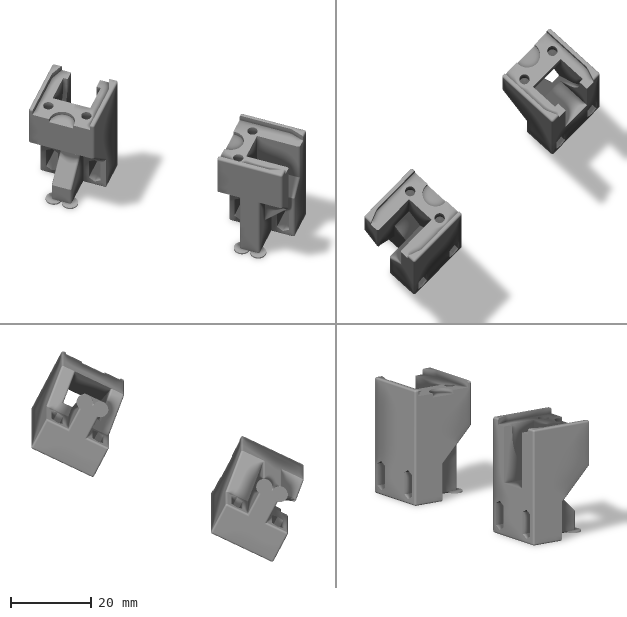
import cadquery as cq
import math

TOTAL_LENGTH = 67.35
SIDE = 17.4
HEIGHT = 29.7
HALF = SIDE / 2
BRACKET_X = TOTAL_LENGTH / 2 - HALF
EDGE_RADIUS = 0.5

LIP_Z = 18.25
WALL_TOP_Z = LIP_Z - HALF

DECK_Z = 28.15
DECK_HALF_WIDTH = 7.6
FLARE_LENGTH = 3.6
FLARE_WIDTH = 1.35
FLARE_RADIUS = 2.7
SCREW_RADIUS = 1.3
SCREW_SPACING = 10.1
SCREW_INSET = 4.4
SCREW_DEPTH = 3.0
MAGNET_RADIUS = 3.2
MAGNET_INSET = 0.55
MAGNET_DEPTH = 1.0

SLOT_HALF_WIDTH = 3.85
SLOT_FLOOR_Z = 13.6
RIB_HALF_WIDTH = 2.6
RIB_ROOT = 1.35
WINDOW_WIDTH = 3.15
WINDOW_HEIGHT = 7.5
WINDOW_SPACING = 11.3
WINDOW_Z = 5.0

RIB_NOSE_Z = 5.25
CHUTE_HALF_WIDTH = 5.0
CHUTE_FRONT = -1.4
CHUTE_BACK = 6.1
CHUTE_RADIUS = 14.4

WEB_THICKNESS = 0.6
WEB_TIP_Z = 13.8

PAD_RADIUS = 2.0
PAD_THICKNESS = 0.4
PAD_SPACING = 4.3
PAD_INSET = 0.5


def yz_prism(points, x_start, x_end):
    """Straight-sided (y, z) outline extruded from x_start to x_end."""
    return cq.Workplane("YZ", origin=(x_start, 0, 0)).polyline(points).close().extrude(x_end - x_start)


def mirrored_points(offset, y):
    return [(-offset, y), (offset, y)]


def undercut_block():
    """Block whose front half is cut away below the 45 degree overhang."""
    outline = [
        (0, 0), (HALF, 0), (HALF, HEIGHT),
        (-HALF, HEIGHT), (-HALF, LIP_Z), (0, WALL_TOP_Z),
    ]
    return yz_prism(outline, -HALF, HALF)


def deck_recess():
    """Space between the rims, closed side at -Y; the rims thicken towards +Y."""
    flare_y = HALF - FLARE_LENGTH
    mouth_half_width = DECK_HALF_WIDTH - FLARE_WIDTH
    outline = [
        (-DECK_HALF_WIDTH, -HALF), (DECK_HALF_WIDTH, -HALF), (DECK_HALF_WIDTH, flare_y),
        (mouth_half_width, HALF), (-mouth_half_width, HALF), (-DECK_HALF_WIDTH, flare_y),
    ]
    recess = cq.Workplane("XY", origin=(0, 0, DECK_Z)).polyline(outline).close().extrude(HEIGHT - DECK_Z)
    bends = cq.selectors.BoxSelector((-HALF, 0, DECK_Z), (HALF, HALF - FLARE_LENGTH / 2, HEIGHT))
    return recess.edges("|Z").edges(bends).fillet(FLARE_RADIUS)


def deck_cuts():
    """Deck recess with two blind screw holes and a round magnet seat at the closed side."""
    holes = (
        cq.Workplane("XY", origin=(0, 0, DECK_Z - SCREW_DEPTH))
        .pushPoints(mirrored_points(SCREW_SPACING / 2, SCREW_INSET - HALF))
        .circle(SCREW_RADIUS)
        .extrude(SCREW_DEPTH)
    )
    seat = (
        cq.Workplane("XY", origin=(0, MAGNET_INSET - HALF, DECK_Z - MAGNET_DEPTH))
        .circle(MAGNET_RADIUS)
        .extrude(MAGNET_DEPTH)
    )
    return deck_recess().union(holes).union(seat)


def windows():
    """Pair of upright hexagonal windows through the lower wall."""
    half_width = WINDOW_WIDTH / 2
    tip = WINDOW_HEIGHT / 2
    shoulder = tip - half_width * math.tan(math.radians(30))
    outline = [
        (0, tip), (half_width, shoulder), (half_width, -shoulder),
        (0, -tip), (-half_width, -shoulder), (-half_width, shoulder),
    ]
    left = (
        cq.Workplane("XZ", origin=(-WINDOW_SPACING / 2, 0, WINDOW_Z))
        .polyline(outline)
        .close()
        .extrude(HALF, both=True)
    )
    return left.union(left.translate((WINDOW_SPACING, 0, 0)))


def pads():
    """Round pads set into the underside at the front corners of the rib."""
    return (
        cq.Workplane("XY")
        .pushPoints(mirrored_points(PAD_SPACING / 2, PAD_INSET - HALF))
        .circle(PAD_RADIUS)
        .extrude(PAD_THICKNESS)
    )


def chute():
    """Vertical shaft whose back wall bends through an arc into a 45 degree outlet."""
    sine = math.sin(math.radians(45))
    middle = math.radians(45 / 2)
    floor_rise = RIB_NOSE_Z + HALF
    roof_rise = LIP_Z + HALF
    arc_y = CHUTE_BACK - CHUTE_RADIUS
    bend_y = arc_y + CHUTE_RADIUS * sine
    bend_z = bend_y + floor_rise
    arc_z = bend_z + CHUTE_RADIUS * sine
    arc_middle = (arc_y + CHUTE_RADIUS * math.cos(middle), arc_z - CHUTE_RADIUS * math.sin(middle))
    return (
        cq.Workplane("YZ", origin=(-CHUTE_HALF_WIDTH, 0, 0))
        .moveTo(-HALF, LIP_Z)
        .lineTo(-HALF, RIB_NOSE_Z)
        .lineTo(bend_y, bend_z)
        .threePointArc(arc_middle, (CHUTE_BACK, arc_z))
        .lineTo(CHUTE_BACK, HEIGHT)
        .lineTo(CHUTE_FRONT, HEIGHT)
        .lineTo(CHUTE_FRONT, CHUTE_FRONT + roof_rise)
        .close()
        .extrude(2 * CHUTE_HALF_WIDTH)
    )


def round_rib(rib):
    """Round the nose edges, the sloping top edges and the underside edges of a rib."""
    slopes = rib.edges(cq.selectors.ParallelDirSelector(cq.Vector(0, 1, 1)))
    return rib.edges("(<Y and |Z) or (<Z and (|Y or <Y))").add(slopes).fillet(EDGE_RADIUS)


def sloped_rib():
    """Rib below the chute outlet; its top continues the chute floor into the body."""
    top_y = (LIP_Z - RIB_NOSE_Z) / 2 - HALF + 2 * EDGE_RADIUS
    top_z = top_y + HALF + RIB_NOSE_Z
    outline = [(-HALF, 0), (RIB_ROOT, 0), (RIB_ROOT, WALL_TOP_Z), (top_y, top_z), (-HALF, RIB_NOSE_Z)]
    return round_rib(yz_prism(outline, -RIB_HALF_WIDTH, RIB_HALF_WIDTH))


def upright_rib():
    """Rib below the front face, as tall as the lip; its back slopes down into the slot."""
    crest_z = SLOT_FLOOR_Z + SLOT_HALF_WIDTH
    outline = [
        (-HALF, 0), (RIB_ROOT, 0), (RIB_ROOT, SLOT_FLOOR_Z), (0, SLOT_FLOOR_Z),
        (-SLOT_HALF_WIDTH, crest_z), (-SLOT_HALF_WIDTH, LIP_Z), (-HALF, LIP_Z),
    ]
    return round_rib(yz_prism(outline, -RIB_HALF_WIDTH, RIB_HALF_WIDTH))


def web():
    """Thin web from the upright rib to the open side, with a 45 degree lower edge."""
    back_y = -SLOT_HALF_WIDTH
    overhang_z = WALL_TOP_Z - back_y + WEB_THICKNESS
    reach = HALF - EDGE_RADIUS
    outline = [(0, overhang_z), (reach, overhang_z), (reach, WEB_TIP_Z), (0, WEB_TIP_Z - reach)]
    return cq.Workplane("XZ", origin=(0, back_y, 0)).polyline(outline).close().extrude(WEB_THICKNESS)


def chute_bracket():
    """Bracket with the curved chute, open towards +Y."""
    body = undercut_block()
    overhang_sides = body.edges(cq.selectors.ParallelDirSelector(cq.Vector(0, 1, -1)))
    body = body.edges("<Z or >Z or ((<Y or >Y) and |Z)").add(overhang_sides).fillet(EDGE_RADIUS)
    body = body.cut(chute())
    outlet = cq.selectors.BoxSelector(
        (-CHUTE_HALF_WIDTH - EDGE_RADIUS, -HALF + EDGE_RADIUS, WALL_TOP_Z + EDGE_RADIUS),
        (CHUTE_HALF_WIDTH + EDGE_RADIUS, -EDGE_RADIUS, LIP_Z - EDGE_RADIUS),
    )
    body = body.edges(outlet).fillet(EDGE_RADIUS).union(sloped_rib())
    slot_outline = [(CHUTE_FRONT, SLOT_FLOOR_Z), (HALF, SLOT_FLOOR_Z), (HALF, HEIGHT), (CHUTE_FRONT, HEIGHT)]
    slot = yz_prism(slot_outline, -SLOT_HALF_WIDTH, SLOT_HALF_WIDTH)
    return body.cut(slot).cut(deck_cuts()).cut(windows()).cut(pads())


def slotted_bracket():
    """Bracket with a straight slot, open towards +X; half of the slot floor slopes at 45 degrees."""
    slot_outline = [
        (-SLOT_HALF_WIDTH, HEIGHT), (-SLOT_HALF_WIDTH, 0), (0, 0), (0, SLOT_FLOOR_Z),
        (SLOT_HALF_WIDTH, SLOT_FLOOR_Z + SLOT_HALF_WIDTH), (SLOT_HALF_WIDTH, HEIGHT),
    ]
    body = undercut_block().cut(yz_prism(slot_outline, -RIB_HALF_WIDTH, HALF))
    body = body.edges("<X or >X or <Z or >Z or ((<Y or >Y) and |Z)").fillet(EDGE_RADIUS)
    body = body.union(upright_rib()).union(web())
    side_deck_cuts = deck_cuts().rotate((0, 0, 0), (0, 0, 1), -90)
    return body.cut(side_deck_cuts).cut(windows()).cut(pads())


left_bracket = chute_bracket().translate((-BRACKET_X, 0, 0))
right_bracket = slotted_bracket().translate((BRACKET_X, 0, 0))
pad_solids = []
for bracket_x in (-BRACKET_X, BRACKET_X):
    pad_solids.extend(pads().translate((bracket_x, 0, 0)).vals())

result = cq.Compound.makeCompound([left_bracket.val(), right_bracket.val(), *pad_solids])